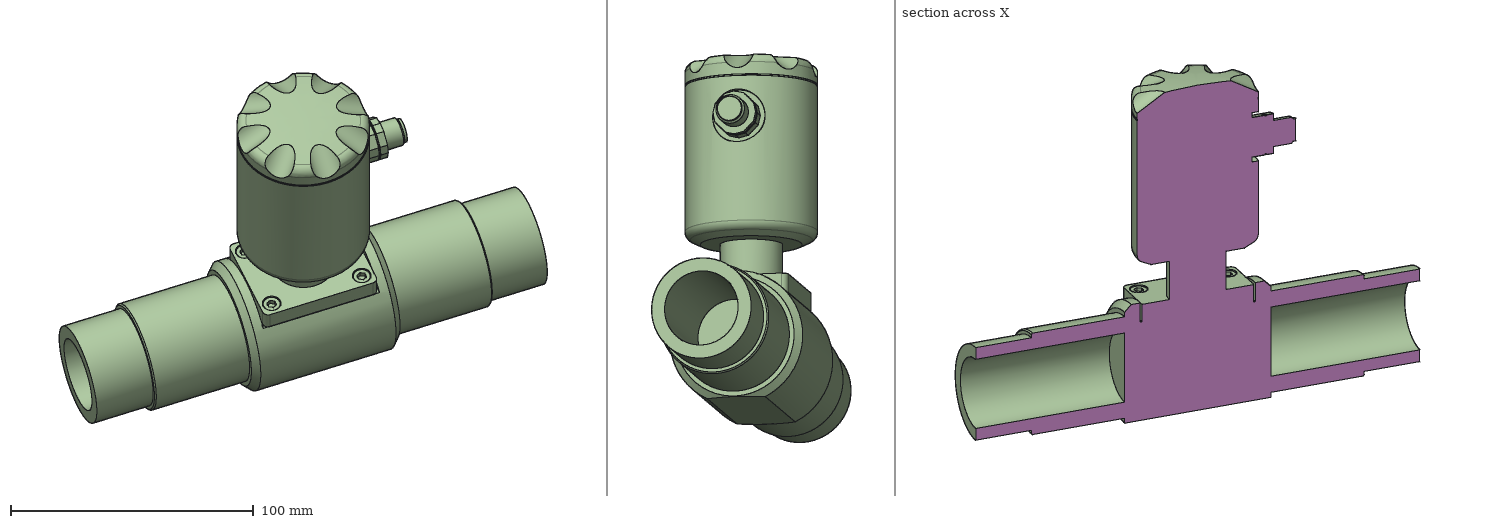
import cadquery as cq
import math

PIPE_LENGTH = 200.0
PIPE_TIP_DIA = 42.0
PIPE_TIP_LENGTH = 25.0
PIPE_DIA = 46.0
PIPE_CHAMFER = 0.5
BORE_DIA = 31.0
BODY_DIA = 56.0
BODY_LENGTH = 66.0
BODY_CHAMFER = 3.0
FOOT_Z = -25.2

PLATE_X = 40.8
PLATE_Y = 50.5
PLATE_TOP_Z = 27.2
PLATE_CORNER_RADIUS = 2.5
POCKET_FLOOR_Z = 19.5
POCKET_GAP = 0.5
SCREW_PITCH_X = 30.0
SCREW_PITCH_Y = 40.0
SCREW_RECESS_DIA = 7.5
SCREW_HEAD_DIA = 7.0
SCREW_RECESS_DEPTH = 4.0
SCREW_HEAD_DROP = 0.5
SOCKET_DIA = 4.0
SOCKET_DEPTH = 2.0

NECK_DIA = 25.8
HOUSING_DIA = 54.8
HOUSING_BOTTOM_Z = 44.2
HOUSING_FILLET = 3.8
UNDERSIDE_DIA = 42.0
UNDERSIDE_SLOPE = 25.0
LID_SEAM_Z = 110.5
LID_SEAM_WIDTH = 0.5
LID_SEAM_DEPTH = 0.2
LID_SHOULDER_Z = 116.0
LID_EDGE_RADIUS = 3.8
TOP_Z = 121.5

FLUTE_COUNT = 8
FLUTE_DIA = 14.0
FLUTE_INNER_RADIUS = 14.8
FLUTE_INNER_Z = 121.0
FLUTE_OUTER_Z = 113.5

CONNECTOR_Z = 93.5
CONNECTOR_DIA = 12.0
CONNECTOR_END_Y = 44.2
CONNECTOR_CHAMFER = 0.8
CONNECTOR_TIP_DIA = 10.2
CONNECTOR_TIP_LENGTH = 1.2
SPOT_FACE_DIA = 22.0
SPOT_FACE_Y = 24.5
NUT_DIA = 18.0
NUT_CORNER_ANGLE = 26.0
NUT_END_Y = 34.2
NUT_GROOVE_Y = 30.5
NUT_GROOVE_WIDTH = 0.5
NUT_GROOVE_DEPTH = 0.5


def cylinder_y(diameter, start_y, end_y, z=0.0):
    """Cylinder parallel to Y between two Y positions."""
    plane = cq.Plane(origin=(0, start_y, z), xDir=(1, 0, 0), normal=(0, 1, 0))
    return cq.Workplane(plane).circle(diameter / 2).extrude(end_y - start_y)


def make_pipe():
    half_length = PIPE_LENGTH / 2
    step_y = half_length - PIPE_TIP_LENGTH
    half_body = BODY_LENGTH / 2
    body = cylinder_y(BODY_DIA, -half_body, half_body).edges().chamfer(BODY_CHAMFER)
    below_foot = cq.Workplane("XY", origin=(0, 0, FOOT_Z)).rect(BODY_DIA, BODY_LENGTH).extrude(-BODY_DIA)
    body = body.cut(below_foot)
    pipe = cylinder_y(PIPE_DIA, -step_y, step_y).edges().chamfer(PIPE_CHAMFER)
    tips = cylinder_y(PIPE_TIP_DIA, -half_length, half_length)
    pipe = body.union(pipe).union(tips)
    for side in (-1, 1):
        pipe = pipe.cut(cylinder_y(BORE_DIA, side * half_body, side * half_length))
    pocket = (
        cq.Workplane("XY", origin=(0, 0, POCKET_FLOOR_Z))
        .rect(BODY_DIA, PLATE_Y + 2 * POCKET_GAP)
        .extrude(BODY_DIA)
    )
    return pipe.cut(pocket)


def make_plate():
    plate = (
        cq.Workplane("XY", origin=(0, 0, POCKET_FLOOR_Z))
        .rect(PLATE_X, PLATE_Y)
        .extrude(PLATE_TOP_Z - POCKET_FLOOR_Z)
        .edges("|Z")
        .fillet(PLATE_CORNER_RADIUS)
    )
    recesses = (
        cq.Workplane("XY", origin=(0, 0, PLATE_TOP_Z))
        .rect(SCREW_PITCH_X, SCREW_PITCH_Y, forConstruction=True)
        .vertices()
        .circle(SCREW_RECESS_DIA / 2)
        .extrude(-SCREW_RECESS_DEPTH)
    )
    head_top = cq.Workplane("XY", origin=(0, 0, PLATE_TOP_Z - SCREW_HEAD_DROP))
    screw_places = head_top.rect(SCREW_PITCH_X, SCREW_PITCH_Y, forConstruction=True).vertices()
    heads = screw_places.circle(SCREW_HEAD_DIA / 2).extrude(SCREW_HEAD_DROP - SCREW_RECESS_DEPTH)
    sockets = screw_places.polygon(6, SOCKET_DIA).extrude(-SOCKET_DEPTH)
    return plate.cut(recesses).union(heads).cut(sockets)


def make_housing():
    """Neck, housing and lid turned about Z from one half profile."""
    radius = HOUSING_DIA / 2
    slope = math.radians(UNDERSIDE_SLOPE)
    fillet_turn = math.pi / 2 - slope
    corner_z = HOUSING_BOTTOM_Z + (radius - UNDERSIDE_DIA / 2) * math.tan(slope)
    fillet_top_z = corner_z + HOUSING_FILLET * math.tan(fillet_turn / 2)

    def fillet_point(turn):
        """Point on the lower fillet, turned down from its upper end."""
        inset = HOUSING_FILLET * (1 - math.cos(turn))
        return radius - inset, fillet_top_z - HOUSING_FILLET * math.sin(turn)

    edge_mid = LID_EDGE_RADIUS * (1 - math.sqrt(0.5))
    dome_rim_radius = radius - LID_EDGE_RADIUS
    dome_rim_z = LID_SHOULDER_Z + LID_EDGE_RADIUS
    dome_height = TOP_Z - dome_rim_z
    dome_radius = (dome_rim_radius**2 + dome_height**2) / (2 * dome_height)
    dome_mid_radius = dome_rim_radius / 2
    dome_mid_z = TOP_Z - dome_radius + math.sqrt(dome_radius**2 - dome_mid_radius**2)
    seam_low = LID_SEAM_Z - LID_SEAM_WIDTH / 2
    seam_high = LID_SEAM_Z + LID_SEAM_WIDTH / 2
    profile = (
        cq.Workplane("XZ")
        .moveTo(0, POCKET_FLOOR_Z)
        .lineTo(NECK_DIA / 2, POCKET_FLOOR_Z)
        .lineTo(NECK_DIA / 2, HOUSING_BOTTOM_Z)
        .lineTo(UNDERSIDE_DIA / 2, HOUSING_BOTTOM_Z)
        .lineTo(*fillet_point(fillet_turn))
        .threePointArc(fillet_point(fillet_turn / 2), fillet_point(0))
        .lineTo(radius, seam_low)
        .lineTo(radius - LID_SEAM_DEPTH, seam_low)
        .lineTo(radius - LID_SEAM_DEPTH, seam_high)
        .lineTo(radius, seam_high)
        .lineTo(radius, LID_SHOULDER_Z)
        .threePointArc((radius - edge_mid, dome_rim_z - edge_mid), (dome_rim_radius, dome_rim_z))
        .threePointArc((dome_mid_radius, dome_mid_z), (0, TOP_Z))
        .close()
    )
    return profile.revolve(360, (0, 0, 0), (0, 1, 0))


def make_flutes():
    """Round cutters that slope down and outwards across the lid edge."""
    run = HOUSING_DIA / 2 - FLUTE_INNER_RADIUS
    drop = FLUTE_INNER_Z - FLUTE_OUTER_Z
    slope_length = math.hypot(run, drop)
    outward, downward = run / slope_length, drop / slope_length
    start_x = FLUTE_INNER_RADIUS + downward * FLUTE_DIA / 2 - outward * slope_length
    start_z = FLUTE_INNER_Z + outward * FLUTE_DIA / 2 + downward * slope_length
    plane = cq.Plane(origin=(start_x, 0, start_z), xDir=(0, 1, 0), normal=(outward, 0, -downward))
    flute = cq.Workplane(plane).circle(FLUTE_DIA / 2).extrude(HOUSING_DIA)
    for i in range(FLUTE_COUNT):
        yield flute.rotate((0, 0, 0), (0, 0, 1), i * 360 / FLUTE_COUNT)


def nut_prism(radius, end_y):
    """Twelve-sided prism from the housing axis to end_y."""
    corners = []
    for quarter in range(4):
        for offset in (0, NUT_CORNER_ANGLE, 90 - NUT_CORNER_ANGLE):
            angle = math.radians(90 * quarter + offset)
            corners.append((radius * math.cos(angle), radius * math.sin(angle)))
    plane = cq.Plane(origin=(0, 0, CONNECTOR_Z), xDir=(1, 0, 0), normal=(0, 1, 0))
    return cq.Workplane(plane).polyline(corners).close().extrude(end_y)


def make_connector():
    shank_end = CONNECTOR_END_Y - CONNECTOR_TIP_LENGTH
    groove_start = NUT_GROOVE_Y - NUT_GROOVE_WIDTH / 2
    groove_end = groove_start + NUT_GROOVE_WIDTH
    shank = cylinder_y(CONNECTOR_DIA, 0, shank_end, CONNECTOR_Z).faces(">Y").chamfer(CONNECTOR_CHAMFER)
    tip = cylinder_y(CONNECTOR_TIP_DIA, 0, CONNECTOR_END_Y, CONNECTOR_Z)
    nut = nut_prism(NUT_DIA / 2, NUT_END_Y)
    groove_band = cylinder_y(2 * NUT_DIA, groove_start, groove_end, CONNECTOR_Z)
    groove_core = nut_prism(NUT_DIA / 2 - NUT_GROOVE_DEPTH, NUT_END_Y)
    return nut.cut(groove_band.cut(groove_core)).union(shank).union(tip)


housing = make_housing()
for flute in make_flutes():
    housing = housing.cut(flute)
housing = housing.cut(cylinder_y(SPOT_FACE_DIA, SPOT_FACE_Y, HOUSING_DIA, CONNECTOR_Z))

result = make_pipe().union(make_plate()).union(housing).union(make_connector())